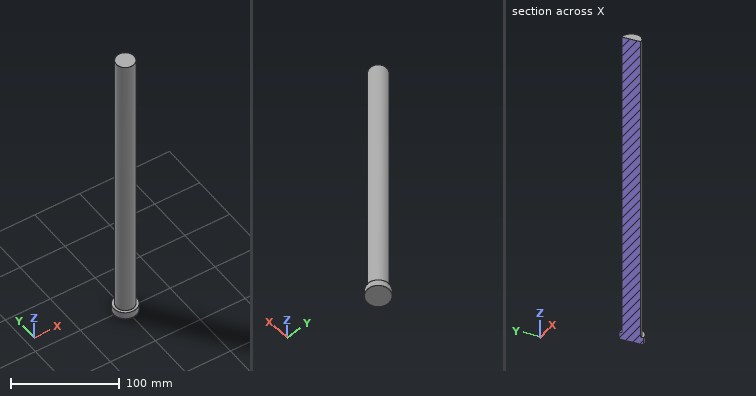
import cadquery as cq

total_length = 323.0
head_diameter = 26.0
head_height = 8.0
shank_diameter = 20.0

head = cq.Workplane("XY").circle(head_diameter / 2).extrude(head_height)
shank = cq.Workplane("XY").circle(shank_diameter / 2).extrude(total_length)

result = head.union(shank)